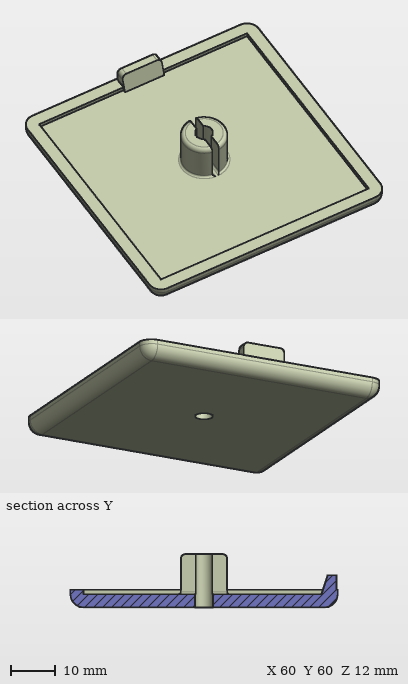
import cadquery as cq

plate_side = 60.0
plate_thickness = 4.0
plate_corner_radius = 3.0
bottom_edge_radius = 3.0
rim_width = 3.0
recess_depth = 1.0
recess_side = plate_side - 2 * rim_width
floor_z = plate_thickness - recess_depth

total_height = 12.0
post_diameter = 10.5
post_height = total_height - floor_z
post_top_radius = 1.0
post_foot_radius = 0.5
slot_width = 1.7
bore_diameter = 4.0

catch_length = 10.2
catch_edge_inset = 0.3
catch_rise = 3.25
catch_top_z = plate_thickness + catch_rise
catch_top_width = 2.0
catch_foot_width = 3.4
catch_corner_radius = 1.1


def make_plate():
    """Plate with rounded corners, a rounded bottom edge and a recessed top."""
    plate = (
        cq.Workplane("XY")
        .rect(plate_side, plate_side)
        .extrude(plate_thickness)
        .edges("|Z")
        .fillet(plate_corner_radius)
        .faces("<Z")
        .edges()
        .fillet(bottom_edge_radius)
    )
    recess = (
        cq.Workplane("XY", origin=(0, 0, floor_z))
        .rect(recess_side, recess_side)
        .extrude(recess_depth)
    )
    return plate.cut(recess)


def make_post():
    """Post with a rounded top, split into two halves by a slot along X."""
    post = (
        cq.Workplane("XY", origin=(0, 0, floor_z))
        .circle(post_diameter / 2)
        .extrude(post_height)
        .faces(">Z")
        .edges()
        .fillet(post_top_radius)
    )
    slot = (
        cq.Workplane("XY", origin=(0, 0, floor_z))
        .rect(post_diameter, slot_width)
        .extrude(post_height)
    )
    return post.cut(slot)


def round_post_foot(body):
    """Blend the outer and slot walls of both post halves into the floor."""
    reach = post_diameter / 2
    tolerance = 0.01
    foot_edges = cq.selectors.BoxSelector(
        (-reach - tolerance, -reach - tolerance, floor_z - tolerance),
        (reach + tolerance, reach + tolerance, floor_z + tolerance),
    )
    return body.edges(foot_edges).fillet(post_foot_radius)


def make_bore():
    """Round hole through the post and the plate."""
    return cq.Workplane("XY").circle(bore_diameter / 2).extrude(total_height)


def make_catch():
    """Catch with an upright outer face, a sloping inner face and rounded top ends."""
    outer_x = -plate_side / 2 + catch_edge_inset
    profile = (
        cq.Workplane("XZ")
        .moveTo(outer_x, floor_z)
        .lineTo(outer_x + catch_foot_width, floor_z)
        .lineTo(outer_x + catch_top_width, catch_top_z)
        .lineTo(outer_x, catch_top_z)
        .close()
        .extrude(catch_length / 2, both=True)
    )
    end_envelope = (
        cq.Workplane("YZ", origin=(outer_x, 0, 0))
        .moveTo(0, catch_top_z / 2)
        .rect(catch_length, catch_top_z)
        .extrude(catch_foot_width)
        .faces(">Z")
        .edges("|X")
        .fillet(catch_corner_radius)
    )
    return profile.intersect(end_envelope)


plate_with_post = round_post_foot(make_plate().union(make_post()))
result = plate_with_post.cut(make_bore()).union(make_catch())